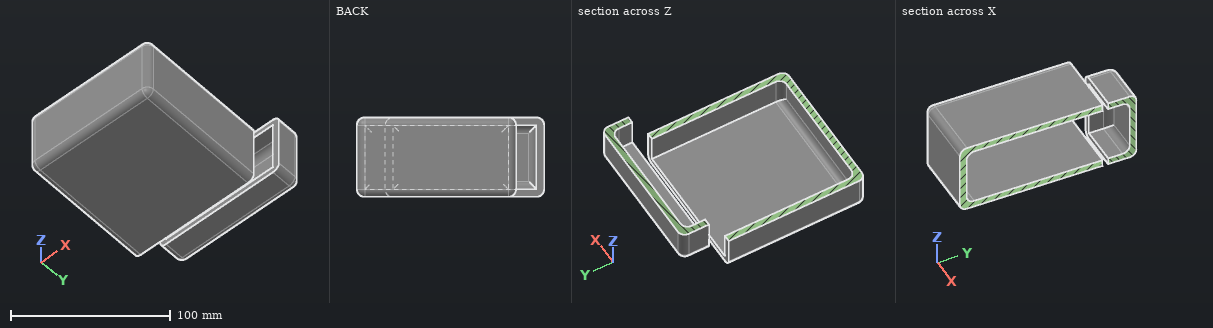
import cadquery as cq

total_length = 123.8
width = 100.0
height = width / 2
wall = width / 20
outer_radius = wall
inner_radius = 5.0

box_length = width
lid_length = width / 5
lid_shift = 17.7


def open_shell(length):
    """Rounded shell centred on X and Z, closed at Y = 0 and open at Y = length."""
    outer = (
        cq.Workplane("XY")
        .box(width, length, height, centered=(True, False, True))
        .edges("not >Y")
        .fillet(outer_radius)
    )
    cavity = (
        cq.Workplane("XY")
        .box(width - 2 * wall, length - wall, height - 2 * wall, centered=(True, False, True))
        .faces("<Y")
        .edges()
        .fillet(inner_radius)
        .translate((0, wall, 0))
    )
    return outer.cut(cavity)


box = open_shell(box_length)

lid = open_shell(lid_length).rotate((0, 0, 0), (0, 0, 1), 180).translate((lid_shift, total_length, 0))

result = cq.Compound.makeCompound([box.val(), lid.val()])